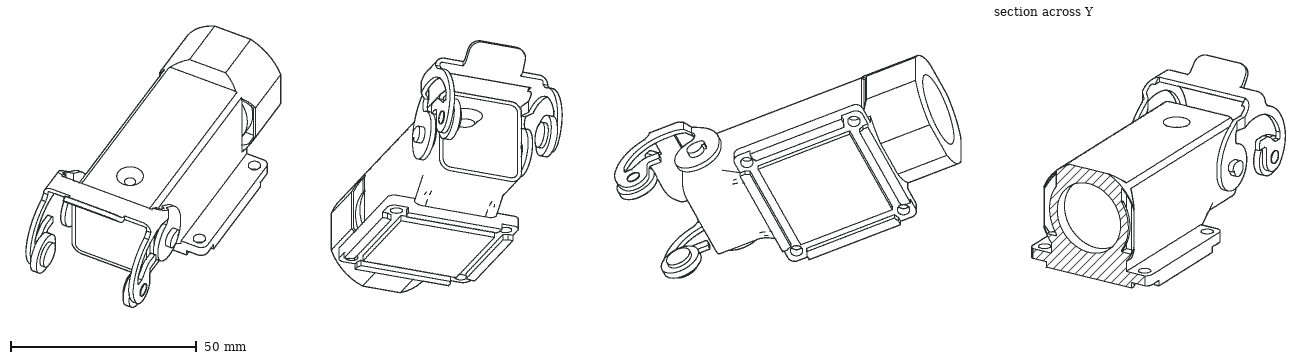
import cadquery as cq
import math


axis_z = 17.5

shroud_half = 11.95
shroud_floor = axis_z - shroud_half
shroud_roof = axis_z + shroud_half
roof_corner = 2.8
floor_corner = 3.2
wall = 1.1
cavity_corner = 2.1

gland_radius = 15.6
gland_half = 14.6
gland_front = 55.8
gland_rear = 70.4
bore_radius = 10.0
taper = gland_half - shroud_half

pocket_floor = 10.4
pocket_skin = 0.4
pocket_rear = 58.0
pocket_bottom = 10.0
disc_radius = 12.6
disc_front = 54.9

plate_half = 19.0
plate_front = 17.8
plate_rear = gland_front
plate_top = 4.6
plate_corner = 2.0
groove_depth = 1.6
groove_width = 2.7
groove_offset = 2.7
screw_radius = 1.65
screw_inset = 3.1
screw_relief = 2.85
ramp_start = 11.8
ramp_radius = 8.0
ramp_corner_end = 3.7
ramp_steps = 4

dimple_y = 11.0
dimple_top_radius = 3.6
dimple_floor_radius = 1.5
dimple_depth = 2.1
dimple_shell = 1.1

sheet = 1.35
lever_half = 16.35
pivot_inner = 13.45
bar_top = 34.75
bar_front = -8.0
bar_rear = -2.3
slant_top_y = -1.8
lever_bend = 2.6
lever_inner_bend = 0.6

pivot_y, pivot_z = 5.5, 17.55
pivot_radius = 6.55
pivot_boss_radius = 3.3
pivot_boss_height = 0.7
pivot_pin_radius = 2.55
cam_radius = 2.2
cam_reach = 2.9
cam_corner = 1.5

bend_rear, bend_front = 3.9, 2.3
bend_rear_z = (27.7, 30.5)
bend_front_z = (28.35, 31.7)

arm_tip = -18.26
hook_y, hook_z = -12.55, 14.5
hook_radius = 4.05
roller_radius = 5.55
roller_inner, roller_outer = 13.2, 15.05
flange_radius = 3.45
flange_inner = 12.1
rivet_radius = 1.8
rivet_end = 16.6

tab_half = 8.45
tab_tip_half = 8.0
tab_corner = 3.0
tab_bend = 1.2
tab_angle = math.radians(50)
tab_tip_y, tab_tip_z = -12.82, 39.35


def box(x0, x1, y0, y1, z0, z1):
    return cq.Workplane("XY").box(x1 - x0, y1 - y0, z1 - z0, centered=False).translate((x0, y0, z0))


def y_cylinder(radius, y0, y1):
    """Cylinder on the gland axis."""
    return cq.Workplane("XZ", origin=(0, y0, axis_z)).circle(radius).extrude(y0 - y1)


def x_cylinder(radius, y, z, x0, x1):
    return cq.Workplane("YZ", origin=(x0, y, z)).circle(radius).extrude(x1 - x0)


def both_sides(solid):
    return solid.union(solid.mirror("YZ"))


def ramp_height(y):
    """Underside of the shroud: level behind the mouth, then an arc down to the plate."""
    run = max(y - ramp_start, 0)
    return shroud_floor - ramp_radius + math.sqrt(ramp_radius ** 2 - run ** 2)


def corner_cutter():
    """Removes the lower +X corner of the shroud: round at the mouth, flattening along the ramp."""
    margin = 0.5
    bulge = 1 - math.cos(math.pi / 4)
    inner = shroud_half - floor_corner
    outer = shroud_half + margin
    start_high = shroud_floor + floor_corner

    def section(y, high):
        low = ramp_height(y)
        middle = (shroud_half - bulge * floor_corner, low + bulge * (high - low))
        return (cq.Workplane("XZ", origin=(0, y, 0))
                .moveTo(inner, low).threePointArc(middle, (shroud_half, high))
                .lineTo(outer, high).lineTo(outer, low - margin).lineTo(inner, low - margin).close()
                .wires().val())

    ramp_sections = []
    for step in range(ramp_steps + 1):
        part = step / ramp_steps
        ramp_sections.append(section(ramp_start + part * (plate_front - ramp_start),
                                     start_high + part * (ramp_corner_end - start_high)))
    level = cq.Workplane(cq.Solid.makeLoft([section(0, start_high), ramp_sections[0]], True))
    return level.union(cq.Workplane(cq.Solid.makeLoft(ramp_sections)))


def make_shroud():
    """Square tube; its floor curves down into the base plate behind the mouth."""
    rear = gland_front - taper
    ramp_middle = (ramp_start + plate_front) / 2
    shroud = (cq.Workplane("YZ", origin=(-shroud_half, 0, 0))
              .moveTo(0, shroud_floor).lineTo(ramp_start, shroud_floor)
              .threePointArc((ramp_middle, ramp_height(ramp_middle)),
                             (plate_front, ramp_height(plate_front)))
              .lineTo(plate_front, groove_depth).lineTo(rear, groove_depth)
              .lineTo(rear, shroud_roof).lineTo(0, shroud_roof).close()
              .extrude(2 * shroud_half))
    shroud = shroud.edges("|Y and >Z").fillet(roof_corner)
    shroud = shroud.cut(corner_cutter()).cut(corner_cutter().mirror("YZ"))
    envelope = y_cylinder(gland_radius, 0, gland_front).union(
        box(-plate_half, plate_half, 0, gland_front, 0, axis_z))
    chord = math.sqrt(gland_radius ** 2 - shroud_half ** 2)
    lower_rear = box(-shroud_half, shroud_half, rear, gland_front, groove_depth, axis_z - chord)
    return shroud.intersect(envelope).union(lower_rear)


def make_gland():
    """Round gland with four flats and a 45 degree step down to the shroud."""
    front = gland_front - taper
    gland = y_cylinder(gland_radius, front, gland_rear)
    gland = gland.intersect(box(-gland_half, gland_half, front, gland_rear,
                                axis_z - gland_half, axis_z + gland_half))
    plan = (cq.Workplane("XY")
            .polyline([(-shroud_half, front), (shroud_half, front), (gland_half, gland_front),
                       (gland_half, gland_rear), (-gland_half, gland_rear), (-gland_half, gland_front)])
            .close().extrude(axis_z + gland_half))
    side = (cq.Workplane("YZ", origin=(-gland_half, 0, 0))
            .polyline([(front, shroud_roof), (gland_front, axis_z + gland_half),
                       (gland_rear, axis_z + gland_half), (gland_rear, axis_z - gland_half),
                       (gland_front, axis_z - gland_half), (gland_front, shroud_floor),
                       (front, shroud_floor)])
            .close().extrude(2 * gland_half))
    pocket_half = gland_half - pocket_skin
    pocket = y_cylinder(gland_radius - pocket_skin, front, pocket_rear)
    pocket = pocket.intersect(box(-pocket_half, pocket_half, front, pocket_rear,
                                  pocket_bottom, axis_z + gland_radius))
    pocket = pocket.cut(y_cylinder(disc_radius, disc_front, pocket_rear))
    pocket = pocket.cut(box(-pocket_floor, pocket_floor, front, pocket_rear, 0, axis_z + gland_radius))
    return gland.intersect(plan).intersect(side).cut(pocket)


def make_base():
    """Screw-down plate whose underside is grooved crosswise and relieved at the screw corners."""
    length = plate_rear - plate_front
    middle_y = (plate_front + plate_rear) / 2
    screw_x = plate_half - screw_inset
    screw_y = length / 2 - screw_inset
    groove_x = plate_half - groove_offset - groove_width
    groove_y = length / 2 - groove_offset - groove_width
    base = box(-plate_half, plate_half, -length / 2, length / 2, 0, plate_top)
    base = base.edges("|Z").fillet(plate_corner)
    lengthwise = box(groove_x, groove_x + groove_width, -length / 2, length / 2, 0, groove_depth)
    crosswise = box(-plate_half, plate_half, groove_y, groove_y + groove_width, 0, groove_depth)
    base = base.cut(lengthwise).cut(lengthwise.mirror("YZ"))
    base = base.cut(crosswise).cut(crosswise.mirror("XZ"))
    outer_corner = box(groove_x, plate_half, groove_y, length / 2, 0, groove_depth)
    for sign_x in (-1, 1):
        for sign_y in (-1, 1):
            centre = cq.Workplane("XY").center(sign_x * screw_x, sign_y * screw_y)
            base = base.cut(centre.circle(screw_relief).extrude(groove_depth))
            base = base.cut(centre.circle(screw_radius).extrude(plate_top))
            turned = outer_corner if sign_x > 0 else outer_corner.mirror("YZ")
            base = base.cut(turned if sign_y > 0 else turned.mirror("XZ"))
    return base.translate((0, middle_y, 0))


def make_cavity():
    inner = shroud_half - wall
    depth = gland_front - taper - wall
    cavity = box(-inner, inner, 0, depth, axis_z - inner, axis_z + inner)
    cavity = cavity.edges("|Y").fillet(cavity_corner)
    return cavity.union(y_cylinder(bore_radius, depth, gland_rear))


def dimple_cone(shell):
    """Cone sunk into the roof, offset outwards and downwards by the shell thickness."""
    lower = dimple_floor_radius + shell
    upper = lower + dimple_top_radius - dimple_floor_radius
    return cq.Workplane(cq.Solid.makeCone(lower, upper, dimple_depth,
                                          cq.Vector(0, dimple_y, shroud_roof - shell - dimple_depth)))


def make_housing():
    housing = make_shroud().union(make_gland()).union(make_base())
    housing = housing.cut(make_cavity())
    return housing.union(dimple_cone(dimple_shell)).cut(dimple_cone(0))


def pivot_plate():
    """Disc around the pivot with a neck rising to the step in the arm."""
    neck_bottom, neck_top = bend_rear_z
    disc_rear = pivot_y + pivot_radius
    outline = (cq.Workplane("YZ", origin=(pivot_inner, 0, 0))
               .moveTo(disc_rear, pivot_z).lineTo(disc_rear, 20.5)
               .threePointArc((10.2, 25.0), (7.0, 28.3))
               .lineTo(bend_rear, neck_top).lineTo(bend_rear, neck_bottom)
               .threePointArc((4.85, 25.7), (4.0, 23.95))
               .lineTo(2.3, 23.27)
               .threePointArc((pivot_y - pivot_radius * math.cos(math.radians(30)),
                               pivot_z - pivot_radius * math.sin(math.radians(30))),
                              (disc_rear, pivot_z))
               .close())
    return outline.extrude(sheet)


def arm_step():
    """Slanted length of sheet joining the pivot plate to the outer arm."""
    inner_front = lever_half - sheet
    plan = (cq.Workplane("XY")
            .polyline([(pivot_inner, bend_rear), (pivot_inner + sheet, bend_rear),
                       (lever_half, bend_front), (inner_front, bend_front)])
            .close().extrude(bar_top))
    side = (cq.Workplane("YZ")
            .polyline([(bend_rear, bend_rear_z[0]), (bend_rear, bend_rear_z[1]),
                       (bend_front, bend_front_z[1]), (bend_front, bend_front_z[0])])
            .close().extrude(lever_half))
    return plan.intersect(side)


def hooked_arms():
    """Crossbar and both hooked arms, as one bent sheet trimmed to the side outline."""
    tail_angle = math.radians(40)
    outline = (cq.Workplane("YZ", origin=(-lever_half, 0, 0))
               .moveTo(bend_front, bend_front_z[1]).lineTo(slant_top_y, bar_top)
               .lineTo(bar_front, bar_top).lineTo(bar_front, 32.1)
               .lineTo(-8.35, 31.6).lineTo(-9.3, 30.6)
               .threePointArc((-14.95, 26.8), (arm_tip, 18.9))
               .threePointArc((-17.7, 15.5), (hook_y - hook_radius * math.cos(tail_angle),
                                              hook_z - hook_radius * math.sin(tail_angle)))
               .threePointArc((hook_y, hook_z - hook_radius), (hook_y + hook_radius, hook_z))
               .lineTo(-8.5, 18.0).threePointArc((-8.24, 18.74), (-7.5, 19.0))
               .lineTo(-5.05, 19.0).lineTo(-5.05, 20.9)
               .threePointArc((-5.4, 21.5), (-6.2, 21.7)).lineTo(-8.7, 21.7)
               .threePointArc((-9.7, 21.4), (-10.6, 20.8)).lineTo(-13.2, 18.75)
               .lineTo(-15.1, 18.75).threePointArc((-15.37, 19.05), (-15.46, 19.5))
               .lineTo(-15.46, 20.7).threePointArc((-10.9, 27.0), (-3.0, 29.4))
               .threePointArc((-0.2, 29.2), (bend_front, bend_front_z[0]))
               .close().extrude(2 * lever_half))
    outer = box(-lever_half, lever_half, arm_tip, bend_front, 0, bar_top)
    outer = outer.edges("|Y and >Z").fillet(lever_bend)
    inner_half = lever_half - sheet
    inner = box(-inner_half, inner_half, arm_tip, bend_front, 0, bar_top - sheet)
    inner = inner.edges("|Y and >Z").fillet(lever_inner_bend)
    flat_half = lever_half - lever_bend
    behind_bar = box(-flat_half, flat_half, bar_rear, bend_front, bar_top - lever_bend, bar_top)
    return outline.intersect(outer.cut(inner)).cut(behind_bar)


def thumb_tab():
    """Tab bent up from the crossbar, narrowing slightly to a rounded tip."""
    run = math.cos(tab_angle) / math.sin(tab_angle)
    lower_y = tab_tip_y - sheet * math.sin(tab_angle)
    lower_z = tab_tip_z - sheet * math.cos(tab_angle)
    bar_bottom = bar_top - sheet
    upper_bend_y = tab_tip_y + (tab_tip_z - bar_top) * run
    lower_bend_y = lower_y + (lower_z - bar_bottom) * run
    side = (cq.Workplane("YZ", origin=(-tab_half, 0, 0))
            .polyline([(bar_front, bar_bottom), (bar_front, bar_top),
                       (upper_bend_y, bar_top), (tab_tip_y, tab_tip_z),
                       (lower_y, lower_z), (lower_bend_y, bar_bottom)])
            .close().extrude(2 * tab_half))
    inside_edge = cq.selectors.NearestToPointSelector((0, upper_bend_y, bar_top))
    side = side.edges(inside_edge).fillet(tab_bend)
    outside_edge = cq.selectors.NearestToPointSelector((0, lower_bend_y, bar_bottom))
    side = side.edges(outside_edge).fillet(tab_bend + sheet)
    length = (tab_tip_z - bar_bottom) / math.sin(tab_angle) + sheet
    face = cq.Plane(origin=(0, tab_tip_y, tab_tip_z), xDir=(1, 0, 0),
                    normal=(0, math.sin(tab_angle), math.cos(tab_angle)))
    outline = (cq.Workplane(face)
               .polyline([(-tab_tip_half, 0), (tab_tip_half, 0), (tab_half, length), (-tab_half, length)])
               .close().extrude(2 * length, both=True))
    tip_corners = cq.selectors.ParallelDirSelector(face.zDir)
    return side.intersect(outline).edges(tip_corners).fillet(tab_corner)


def pivot():
    """Boss and pin on the shroud side, with a cam-shaped head outside the plate."""
    boss = x_cylinder(pivot_boss_radius, pivot_y, pivot_z, shroud_half, shroud_half + pivot_boss_height)
    pin = x_cylinder(pivot_pin_radius, pivot_y, pivot_z, shroud_half, pivot_inner)
    cam = x_cylinder(cam_radius, pivot_y, pivot_z, pivot_inner, lever_half)
    stop = box(pivot_inner, lever_half, pivot_y, pivot_y + cam_reach, pivot_z, pivot_z + cam_radius)
    stop = stop.edges("|X and >Y and >Z").fillet(cam_corner)
    return boss.union(pin).union(cam).union(stop)


def roller():
    """Flanged roller riveted to the hook."""
    body = x_cylinder(roller_radius, hook_y, hook_z, roller_inner, roller_outer)
    flange = x_cylinder(flange_radius, hook_y, hook_z, flange_inner, roller_inner)
    rivet = x_cylinder(rivet_radius, hook_y, hook_z, roller_inner, rivet_end)
    return body.union(flange).union(rivet)


def make_lever():
    side_parts = pivot_plate().union(arm_step()).union(pivot()).union(roller())
    return hooked_arms().union(both_sides(side_parts)).union(thumb_tab())


result = make_housing().union(make_lever())